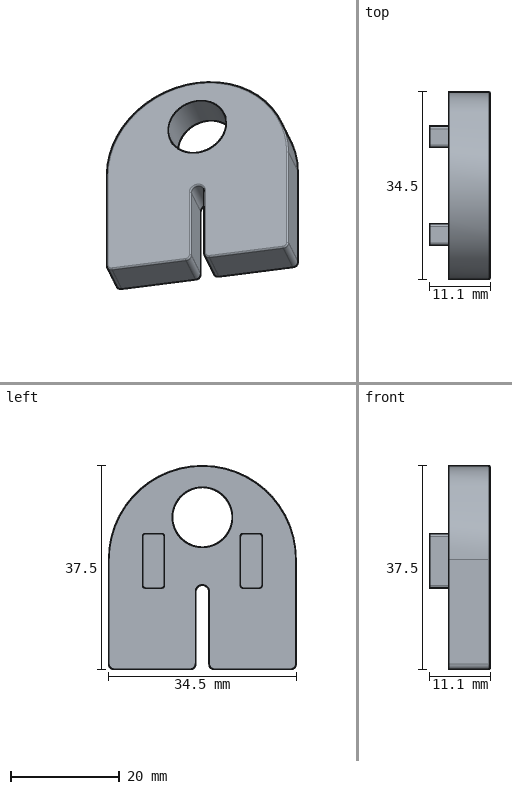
import cadquery as cq

height = 37.5
width = 34.5
total_depth = 11.1
tab_projection = 3.5
plate_thickness = total_depth - tab_projection
arch_radius = width / 2
arch_center_z = height - arch_radius
corner_radius = 1.0
face_edge_radius = 0.3

hole_diameter = 11.0
hole_center_z = 28.0

slot_width = 2.45
slot_top_z = 15.52
slot_arc_center_z = slot_top_z - slot_width / 2

tab_width = 3.98
tab_height = 10.0
tab_spacing = 18.0
tab_center_z = 20.0
tab_corner_radius = 0.5


def make_plate():
    """Arched, slotted plate from X = 0 to its thickness, with rounded bottom corners."""
    half_width = width / 2
    half_slot = slot_width / 2
    outline = (
        cq.Workplane("YZ")
        .moveTo(half_slot, 0)
        .lineTo(half_width, 0)
        .lineTo(half_width, arch_center_z)
        .threePointArc((0, height), (-half_width, arch_center_z))
        .lineTo(-half_width, 0)
        .lineTo(-half_slot, 0)
        .lineTo(-half_slot, slot_arc_center_z)
        .threePointArc((0, slot_top_z), (half_slot, slot_arc_center_z))
        .close()
    )
    plate = outline.extrude(plate_thickness)
    plate = plate.faces("<Z").edges("|X").fillet(corner_radius)
    return plate.faces(">X").edges().fillet(face_edge_radius)


def make_hole():
    """Cutter for the round through hole."""
    return (
        cq.Workplane("YZ")
        .center(0, hole_center_z)
        .circle(hole_diameter / 2)
        .extrude(plate_thickness)
    )


def make_tabs():
    """Pair of tabs projecting from the -X face."""
    return (
        cq.Workplane("YZ")
        .pushPoints([(side * tab_spacing / 2, tab_center_z) for side in (-1, 1)])
        .rect(tab_width, tab_height)
        .extrude(-tab_projection)
        .edges("|X")
        .fillet(tab_corner_radius)
    )


result = make_plate().cut(make_hole()).union(make_tabs())